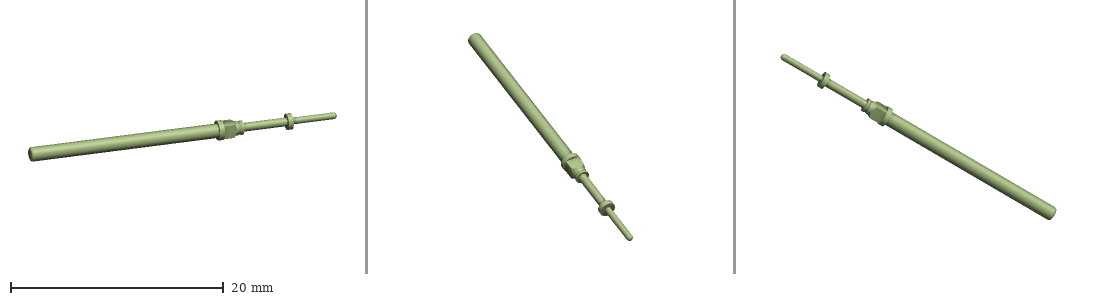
import cadquery as cq

LENGTH = 30.4
TIP_Y = LENGTH / 2

PIN_DIAMETER = 0.65
PIN_COLLAR_DIAMETER = 1.55
SHAFT_DIAMETER = 0.82
FLARE_DIAMETER = 0.88
FLANGE_DIAMETER = 1.9

HEAD_ACROSS_FLATS = 1.37
BARREL_DIAMETER = HEAD_ACROSS_FLATS
RING_DIAMETER = BARREL_DIAMETER
GROOVE_DEPTH = 0.1

PIN_COLLAR_START = 4.5
FLARE_START = 9.0
FLARE_END = 9.35
FLANGE_START = 11.37
COLLAR_THICKNESS = 0.5
RING_THICKNESS = 0.18
GROOVE_WIDTH = 0.35

PIN_COLLAR_END = PIN_COLLAR_START + COLLAR_THICKNESS
GROOVE_START = FLARE_END + RING_THICKNESS
GROOVE_END = GROOVE_START + GROOVE_WIDTH
HEAD_START = GROOVE_END + RING_THICKNESS
FLANGE_END = FLANGE_START + COLLAR_THICKNESS

TIP_RADIUS = 0.3
BARREL_END_RADIUS = 0.2


def cylinder(diameter, start, end):
    """Solid cylinder on the Y axis between two distances back from the tip."""
    return (
        cq.Workplane("XZ", origin=(0, TIP_Y - start, 0))
        .circle(diameter / 2)
        .extrude(end - start)
    )


def pin():
    """Thin contact pin with a rounded tip."""
    return cylinder(PIN_DIAMETER, 0, PIN_COLLAR_START).faces(">Y").edges().fillet(TIP_RADIUS)


def flare():
    """Concave widening that leaves the shaft tangentially and ends at the grooved neck."""
    start_y = TIP_Y - FLARE_START
    end_y = TIP_Y - FLARE_END
    flare_length = FLARE_END - FLARE_START
    rise = (FLARE_DIAMETER - SHAFT_DIAMETER) / 2
    arc_radius = (flare_length**2 + rise**2) / (2 * rise)
    return (
        cq.Workplane("XY")
        .moveTo(0, start_y)
        .lineTo(SHAFT_DIAMETER / 2, start_y)
        .radiusArc((FLARE_DIAMETER / 2, end_y), -arc_radius)
        .lineTo(0, end_y)
        .close()
        .revolve(360, (0, 0, 0), (0, 1, 0))
    )


def grooved_neck():
    """Two rings separated by a shallow V-groove."""
    neck = cylinder(RING_DIAMETER, FLARE_END, HEAD_START)
    ring_radius = RING_DIAMETER / 2
    groove = (
        cq.Workplane("XY")
        .moveTo(ring_radius, TIP_Y - GROOVE_START)
        .lineTo(ring_radius - GROOVE_DEPTH, TIP_Y - (GROOVE_START + GROOVE_END) / 2)
        .lineTo(ring_radius, TIP_Y - GROOVE_END)
        .close()
        .revolve(360, (0, 0, 0), (0, 1, 0))
    )
    return neck.cut(groove)


def head():
    """Square head whose front corners are cut back by a 45-degree cone."""
    square = (
        cq.Workplane("XZ", origin=(0, TIP_Y - HEAD_START, 0))
        .rect(HEAD_ACROSS_FLATS, HEAD_ACROSS_FLATS)
        .extrude(FLANGE_START - HEAD_START)
    )
    corner_chamfer = (FLANGE_DIAMETER - RING_DIAMETER) / 2
    envelope = cylinder(FLANGE_DIAMETER, HEAD_START, FLANGE_START).faces(">Y").chamfer(corner_chamfer)
    return square.intersect(envelope)


def barrel():
    """Long barrel with a rounded rear rim."""
    return cylinder(BARREL_DIAMETER, FLANGE_END, LENGTH).faces("<Y").edges().fillet(BARREL_END_RADIUS)


result = (
    pin()
    .union(cylinder(PIN_COLLAR_DIAMETER, PIN_COLLAR_START, PIN_COLLAR_END))
    .union(cylinder(SHAFT_DIAMETER, PIN_COLLAR_END, FLARE_START))
    .union(flare())
    .union(grooved_neck())
    .union(head())
    .union(cylinder(FLANGE_DIAMETER, FLANGE_START, FLANGE_END))
    .union(barrel())
)